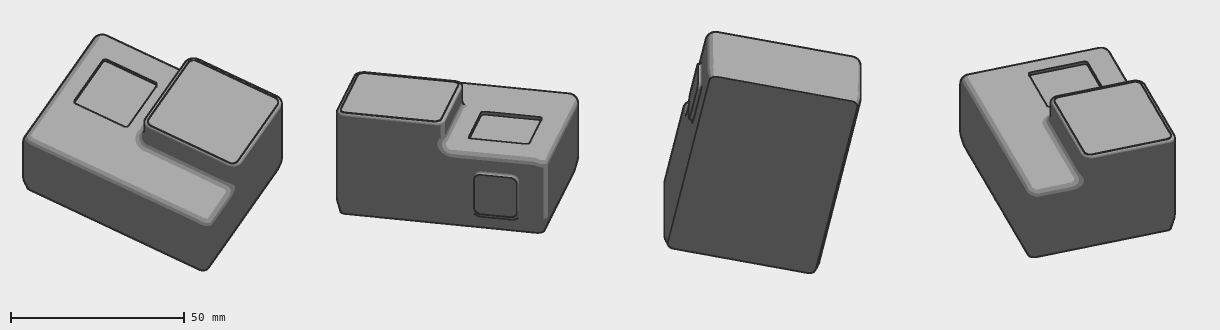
import cadquery as cq
import math

body_length = 62.4
body_height = 24.45
button_height = 1.0
body_depth = 46.8 - button_height
round_radius = 3.0

skirt_angle = math.radians(15)
skirt_height = 3.4
skirt_blend_radius = 5.0

total_height = 32.7
lens_width = 31.95
lens_depth = 28.7
lens_edge_radius = 0.95
glass_inset = 1.1
glass_recess = 0.2

display_size = 18.0
display_left = 6.9
display_back_gap = 8.7
display_corner_radius = 1.0
display_recess = 1.0

button_size = 12.7
button_x = 14.65
button_z = 11.6
button_corner_radius = 2.0
button_flare_radius = 0.95
button_foot_margin = 1.25
button_foot_depth = 1.9

TOLERANCE = 0.005
lens_left = body_length - lens_width
lens_front = body_depth - lens_depth


def edges_in_box(low, high):
    """Selector for edges whose centres lie in a box, widened by the tolerance."""
    return cq.selectors.BoxSelector(
        tuple(value - TOLERANCE for value in low),
        tuple(value + TOLERANCE for value in high),
    )


def make_housing():
    """Body and lens block with the blend between them and rounded outer edges."""
    body = cq.Workplane().box(body_length, body_depth, body_height, centered=False)
    lens = (
        cq.Workplane()
        .box(lens_width, lens_depth, total_height, centered=False)
        .translate((lens_left, lens_front, 0))
    )
    housing = body.union(lens)

    housing = housing.edges(
        edges_in_box((lens_left, lens_front, body_height), (lens_left, lens_front, total_height))
    ).fillet(round_radius)

    housing = housing.edges(
        edges_in_box(
            (lens_left, lens_front, body_height),
            (body_length - round_radius, body_depth - round_radius, body_height),
        )
    ).fillet(round_radius)

    outer_edges = (
        edges_in_box((0, 0, 0), (0, body_depth, total_height))
        + edges_in_box((body_length, 0, 0), (body_length, body_depth, total_height))
        + edges_in_box((0, 0, 0), (body_length, 0, total_height))
        + edges_in_box((0, body_depth, 0), (body_length, body_depth, total_height))
    )
    end_face_edges = edges_in_box((0, 0, 0), (body_length, body_depth, 0)) + edges_in_box(
        (0, 0, total_height), (body_length, body_depth, total_height)
    )
    housing = housing.edges(outer_edges - end_face_edges).fillet(round_radius)
    return housing.faces(">Z").edges().fillet(lens_edge_radius)


def taper_skirt(housing):
    """Taper the bottom of the walls and round the bend above the taper."""
    bend_z = skirt_height + skirt_blend_radius * math.tan(skirt_angle / 2)
    inset = bend_z * math.tan(skirt_angle)
    tapered = housing.faces("<Z").edges().chamfer(inset, bend_z)
    bend = edges_in_box((0, 0, bend_z), (body_length, body_depth, bend_z))
    return tapered.edges(bend).fillet(skirt_blend_radius)


def rounded_square_block(size, corner_radius, back_y, height):
    """Rounded square block on the button axis, reaching +Y from back_y."""
    return (
        cq.Workplane("XZ", origin=(button_x, back_y, button_z))
        .rect(size, size)
        .extrude(-height)
        .edges("|Y")
        .fillet(corner_radius)
    )


def make_button():
    """Rounded square button with a concave flare onto a foot sunk in the back wall."""
    foot_size = button_size + 2 * button_foot_margin
    foot_corner_radius = button_corner_radius + button_foot_margin
    foot = rounded_square_block(
        foot_size, foot_corner_radius, body_depth - button_foot_depth, button_foot_depth
    )
    cap = rounded_square_block(button_size, button_corner_radius, body_depth, button_height)
    base_edges = edges_in_box(
        (button_x - button_size / 2, body_depth, button_z - button_size / 2),
        (button_x + button_size / 2, body_depth, button_z + button_size / 2),
    )
    return foot.union(cap).edges(base_edges).fillet(button_flare_radius)


def make_display_pocket():
    """Cutter for the shallow square display pocket."""
    center_x = display_left + display_size / 2
    center_y = body_depth - display_back_gap - display_size / 2
    return (
        cq.Workplane(origin=(center_x, center_y, body_height - display_recess))
        .rect(display_size, display_size)
        .extrude(display_recess)
        .edges("|Z")
        .fillet(display_corner_radius)
    )


def make_glass_pocket():
    """Cutter for the lens glass recess, which follows the lens outline."""
    return (
        cq.Workplane(
            origin=(
                lens_left + lens_width / 2,
                lens_front + lens_depth / 2,
                total_height - glass_recess,
            )
        )
        .rect(lens_width - 2 * glass_inset, lens_depth - 2 * glass_inset)
        .extrude(glass_recess)
        .edges("|Z")
        .fillet(round_radius - glass_inset)
    )


result = (
    taper_skirt(make_housing())
    .union(make_button())
    .cut(make_display_pocket())
    .cut(make_glass_pocket())
)